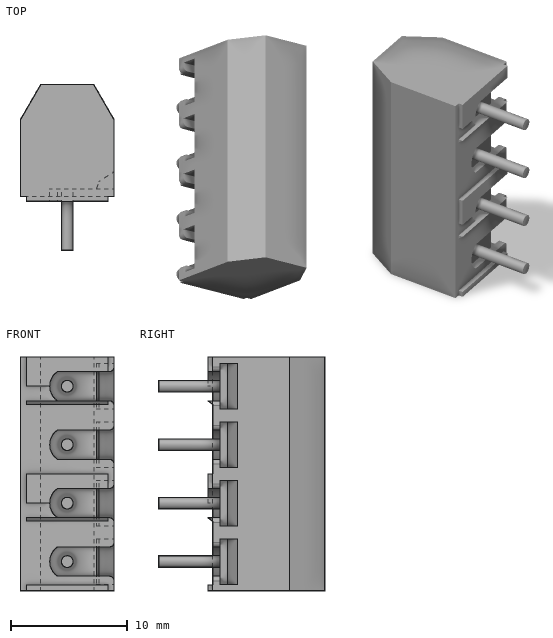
import cadquery as cq
import math


pole_count = 4
pole_pitch = 5.0
body_width = 8.0
body_depth = 9.6
body_height = pole_count * pole_pitch
slope_depth = 3.0
slope_angle = 30.0
slope_inset = slope_depth * math.tan(math.radians(slope_angle))
half_width = body_width / 2
top_z = body_height / 2
bottom_z = -top_z

pin_diameter = 1.0
pin_projection = 4.6
slot_height = 2.5
slot_end_radius = 1.5
slot_depth = 0.65
slot_mouth_radius = 0.4

entry_height = 3.9
entry_start_x = 2.5
entry_bend_x = 2.72
entry_bend_depth = 1.3
entry_slope_angle = 33.0
entry_bend_to_side = half_width - entry_bend_x
entry_side_depth = entry_bend_depth + entry_bend_to_side * math.tan(math.radians(entry_slope_angle))

raised_width = 7.0
raised_height = 0.4
pad_pole_step = 2
pad_length = pole_pitch / 2
ridge_thickness = 0.3
foot_strip_length = 0.5

pole_heights = [top_z - (i + 0.5) * pole_pitch for i in range(pole_count)]
padded_pole_heights = pole_heights[::pad_pole_step]


def box_between(x_range, y_range, z_range):
    """Axis-aligned box spanning the given ranges."""
    return (
        cq.Workplane("XY")
        .box(
            x_range[1] - x_range[0],
            y_range[1] - y_range[0],
            z_range[1] - z_range[0],
            centered=False,
        )
        .translate((x_range[0], y_range[0], z_range[0]))
    )


def make_body():
    """Prism along Z with its two back corners sloped off."""
    slope_start = body_depth - slope_depth
    back_half_width = half_width - slope_inset
    return (
        cq.Workplane("XY")
        .workplane(offset=bottom_z)
        .moveTo(-half_width, 0)
        .lineTo(half_width, 0)
        .lineTo(half_width, slope_start)
        .lineTo(back_half_width, body_depth)
        .lineTo(-back_half_width, body_depth)
        .lineTo(-half_width, slope_start)
        .close()
        .extrude(body_height)
    )


def make_raised_strip(upper_z, length):
    """Flat strip standing on the mounting face, reaching down from upper_z."""
    half_raised = raised_width / 2
    return box_between((-half_raised, half_raised), (-raised_height, 0), (upper_z - length, upper_z))


def make_ridge(upper_z):
    """Wedge-shaped ridge with a flat upper side and a sloped underside."""
    return (
        cq.Workplane("YZ")
        .workplane(offset=-raised_width / 2)
        .moveTo(0, upper_z)
        .lineTo(-raised_height, upper_z)
        .lineTo(0, upper_z - ridge_thickness)
        .close()
        .extrude(raised_width)
    )


def make_slot(pole_z):
    """Slot open to the +X side, with an arc end and a mouth flared by rounded corners."""
    half_slot = slot_height / 2
    half_mouth = half_slot + slot_mouth_radius
    arc_start_x = -math.sqrt(slot_end_radius**2 - half_slot**2)
    flare_start_x = half_width - slot_mouth_radius
    return (
        cq.Workplane("XZ", origin=(0, slot_depth, pole_z))
        .moveTo(arc_start_x, half_slot)
        .threePointArc((-slot_end_radius, 0), (arc_start_x, -half_slot))
        .lineTo(flare_start_x, -half_slot)
        .radiusArc((half_width, -half_mouth), slot_mouth_radius)
        .lineTo(half_width, half_mouth)
        .radiusArc((flare_start_x, half_slot), slot_mouth_radius)
        .close()
        .extrude(slot_depth + raised_height)
    )


def make_wire_entry(pole_z):
    """Opening in the +X side, taller than the slot, with a bent sloping back wall."""
    return (
        cq.Workplane("XY")
        .workplane(offset=pole_z - entry_height / 2)
        .moveTo(entry_start_x, slot_depth)
        .lineTo(entry_bend_x, entry_bend_depth)
        .lineTo(half_width, entry_side_depth)
        .lineTo(half_width, slot_depth)
        .close()
        .extrude(entry_height)
    )


def make_pin(pole_z):
    """Round pin standing on the slot floor."""
    return (
        cq.Workplane("XZ", origin=(0, slot_depth, pole_z))
        .circle(pin_diameter / 2)
        .extrude(slot_depth + pin_projection)
    )


result = make_body()
result = result.union(make_raised_strip(bottom_z + foot_strip_length, foot_strip_length))

for pole_z in padded_pole_heights:
    result = result.union(make_raised_strip(pole_z + pad_length, pad_length))
    result = result.union(make_ridge(pole_z - slot_height / 2))

for pole_z in pole_heights:
    result = result.cut(make_slot(pole_z))
    result = result.cut(make_wire_entry(pole_z))
    result = result.union(make_pin(pole_z))